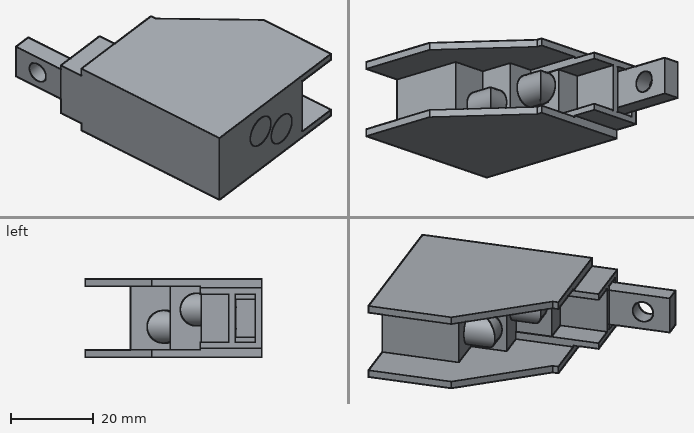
import cadquery as cq

LENGTH = 64.8
DEPTH = 42.7
HEIGHT = 19.0

PLATE_THICKNESS = 1.8
PLATE_GAP = HEIGHT - 2 * PLATE_THICKNESS
PLATE_FRONT_X = 21.7
PLATE_FRONT_END_Y = 26.65
BEVEL_START_X = 23.2
BEVEL_END_X = 43.75

NOSE_FRONT_X = 15.3
NOSE_DEPTH = 14.85
NOSE_HEIGHT = 14.65
NOSE_WALL = 1.55
SOCKET_HEIGHT = NOSE_HEIGHT - 2 * NOSE_WALL
SOCKET_WIDTH = 4.9
SOCKET_FLOOR_X = 27.2
OPEN_SOCKET_Y = NOSE_WALL + SOCKET_WIDTH + NOSE_WALL

MIDDLE_STEP_X = 36.3
MIDDLE_STEP_END_Y = 22.15
BACK_STEP_X = 45.35
BACK_STEP_END_Y = 31.75

BAR_WIDTH = 4.7
BAR_HEIGHT = 9.15
BAR_HOLE_DIAMETER = 5.2
BAR_HOLE_X = 6.8

CONTACT_END_Y = 14.65

CABLE_RADIUS = 3.95
CABLE_LEG = 0.9
CABLE_END_ROUNDING = 0.7
CABLE_Z_OFFSET = 2.1
CABLE_PLACES = [
    (MIDDLE_STEP_X, 15.75, CABLE_Z_OFFSET),
    (BACK_STEP_X, 23.8, -CABLE_Z_OFFSET),
]


def block(x_start, x_end, y_start, y_end, height):
    """Box between the given X and Y limits, centred on Z = 0."""
    corner = (x_start, y_start, -height / 2)
    size = (x_end - x_start, y_end - y_start, height)
    return cq.Workplane("XY").box(*size, centered=False).translate(corner)


def make_plate(bottom_z):
    """Plate with a bevelled corner, its underside at bottom_z."""
    outline = [
        (PLATE_FRONT_X, 0),
        (LENGTH, 0),
        (LENGTH, DEPTH),
        (BEVEL_END_X, DEPTH),
        (BEVEL_START_X, PLATE_FRONT_END_Y),
        (PLATE_FRONT_X, PLATE_FRONT_END_Y),
    ]
    return cq.Workplane("XY", origin=(0, 0, bottom_z)).polyline(outline).close().extrude(PLATE_THICKNESS)


def make_cable(step_x, run_y, run_z):
    """Cable with a mitred square bend; its short leg has a rounded end."""
    bend_x = step_x - CABLE_RADIUS
    leg_length = CABLE_LEG + CABLE_END_ROUNDING

    def cylinder_along_x(start_x, length):
        return cq.Workplane("YZ", origin=(start_x, run_y, run_z)).circle(CABLE_RADIUS).extrude(length)

    def cylinder_towards_minus_y(start_y, length):
        return cq.Workplane("XZ", origin=(bend_x, start_y, run_z)).circle(CABLE_RADIUS).extrude(length)

    run = cylinder_along_x(bend_x, LENGTH - bend_x)
    leg = cylinder_towards_minus_y(run_y, leg_length).faces("<Y").edges().fillet(CABLE_END_ROUNDING)
    corner = cylinder_along_x(bend_x - CABLE_RADIUS, 2 * CABLE_RADIUS).intersect(
        cylinder_towards_minus_y(run_y + CABLE_RADIUS, 2 * CABLE_RADIUS)
    )
    return run.union(corner).union(leg).clean()


def make_housing():
    """Plates, socketed nose and steps, without the cable passages."""
    housing = make_plate(PLATE_GAP / 2).union(make_plate(-HEIGHT / 2))

    housing = housing.union(block(NOSE_FRONT_X, LENGTH, 0, NOSE_DEPTH, NOSE_HEIGHT))
    housing = housing.union(block(PLATE_FRONT_X, LENGTH, 0, NOSE_DEPTH, PLATE_GAP))
    housing = housing.union(block(MIDDLE_STEP_X, LENGTH, 0, MIDDLE_STEP_END_Y, PLATE_GAP))
    housing = housing.union(block(BACK_STEP_X, LENGTH, 0, BACK_STEP_END_Y, PLATE_GAP))

    closed_socket_end_y = NOSE_WALL + SOCKET_WIDTH
    housing = housing.cut(block(NOSE_FRONT_X, SOCKET_FLOOR_X, NOSE_WALL, closed_socket_end_y, SOCKET_HEIGHT))
    return housing.cut(block(NOSE_FRONT_X, MIDDLE_STEP_X, OPEN_SOCKET_Y, NOSE_DEPTH, SOCKET_HEIGHT))


def make_terminal_bar():
    """Bar that stands on the socket floor, with a cross hole near its tip."""
    bar = block(0, SOCKET_FLOOR_X, NOSE_WALL, NOSE_WALL + BAR_WIDTH, BAR_HEIGHT)
    hole = (
        cq.Workplane("XZ", origin=(BAR_HOLE_X, NOSE_WALL, 0))
        .circle(BAR_HOLE_DIAMETER / 2)
        .extrude(-BAR_WIDTH)
    )
    return bar.cut(hole)


def make_contact():
    """Block that fills the inner part of the open socket, without its cable recess."""
    return block(SOCKET_FLOOR_X, MIDDLE_STEP_X, OPEN_SOCKET_Y, CONTACT_END_Y, SOCKET_HEIGHT)


housing = make_housing()
terminal_bar = make_terminal_bar()
contact = make_contact()
cables = [make_cable(*place) for place in CABLE_PLACES]

for cable in cables:
    housing = housing.cut(cable)
    contact = contact.cut(cable)

bodies = [housing, terminal_bar, contact, *cables]
result = cq.Compound.makeCompound([body.solids().val() for body in bodies])